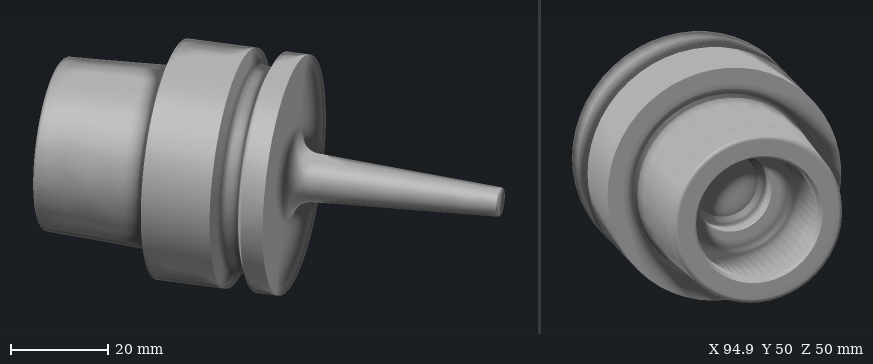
import cadquery as cq
import math

total_length = 94.9

flange_radius = 25.01
flange_start = 25.0
flange_end = 50.9

taper_small_radius = 18.1
taper_large_radius = 19.2
taper_end = 23.0
shank_end_fillet = 0.95
neck_radius = 19.0
neck_start = 23.5

undercut_radius = 20.5
undercut_fillet = 0.5
undercut_slope = math.radians(15)

groove_start = 39.6
groove_end = 46.1
groove_bottom_radius = 21.5
groove_bottom_start = 41.3
groove_bottom_end = 44.5
groove_corner_fillet = 0.8

nose_tip_radius = 3.0
nose_root_radius = 5.0
nose_root_fillet = 4.7
nose_tip_chamfer = 0.3

bore_radius = 13.1
bore_mouth_radius = 13.7
bore_mouth_depth = 0.95
bore_depth = 18.9
bore_corner_fillet = 1.4

hole_radius = 8.2
hole_mouth_chamfer = 0.2
hole_bottom_radius = 6.9
hole_straight_depth = 4.7


def revolve_about_x(profile):
    """Close a half profile along the X axis and turn it into a solid."""
    return profile.close().revolve(360, (0, 0, 0), (1, 0, 0))


def make_body():
    slope_start_x = undercut_fillet * math.cos(undercut_slope)
    slope_start_radius = neck_radius + undercut_fillet * (1 + math.sin(undercut_slope))
    slope_depth = (undercut_radius - slope_start_radius) * math.tan(undercut_slope)
    neck_end = flange_start + slope_depth - slope_start_x

    nose_start = flange_end + nose_root_fillet
    return revolve_about_x(
        cq.Workplane("XY")
        .lineTo(0, taper_small_radius - shank_end_fillet)
        .radiusArc((shank_end_fillet, taper_small_radius), shank_end_fillet)
        .lineTo(taper_end, taper_large_radius)
        .lineTo(neck_start, neck_radius)
        .lineTo(neck_end, neck_radius)
        .radiusArc((flange_start + slope_depth, slope_start_radius), -undercut_fillet)
        .lineTo(flange_start, undercut_radius)
        .lineTo(flange_start, flange_radius)
        .lineTo(flange_end, flange_radius)
        .lineTo(flange_end, nose_root_radius + nose_root_fillet)
        .radiusArc((nose_start, nose_root_radius), -nose_root_fillet)
        .lineTo(total_length - nose_tip_chamfer, nose_tip_radius)
        .lineTo(total_length, nose_tip_radius - nose_tip_chamfer)
        .lineTo(total_length, 0)
    )


def make_groove():
    ring = revolve_about_x(
        cq.Workplane("XY")
        .moveTo(groove_start, flange_radius)
        .lineTo(groove_bottom_start, groove_bottom_radius)
        .lineTo(groove_bottom_end, groove_bottom_radius)
        .lineTo(groove_end, flange_radius)
    )
    bottom_edges = cq.selectors.RadiusNthSelector(0)
    return ring.edges("%CIRCLE").edges(bottom_edges).fillet(groove_corner_fillet)


def make_bore():
    hole_mouth_radius = hole_radius + hole_mouth_chamfer
    hole_straight_end = bore_depth + hole_straight_depth
    hole_end = hole_straight_end + hole_radius - hole_bottom_radius
    return revolve_about_x(
        cq.Workplane("XY")
        .lineTo(0, bore_mouth_radius)
        .lineTo(bore_mouth_depth, bore_radius)
        .lineTo(bore_depth - bore_corner_fillet, bore_radius)
        .radiusArc((bore_depth, bore_radius - bore_corner_fillet), bore_corner_fillet)
        .lineTo(bore_depth, hole_mouth_radius)
        .lineTo(bore_depth + hole_mouth_chamfer, hole_radius)
        .lineTo(hole_straight_end, hole_radius)
        .lineTo(hole_end, hole_bottom_radius)
        .lineTo(hole_end, 0)
    )


result = make_body().cut(make_groove()).cut(make_bore())